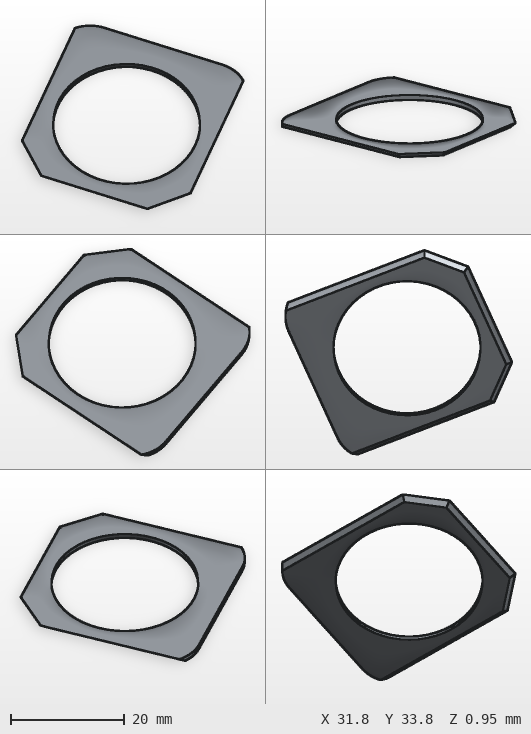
import cadquery as cq
import math

width = 31.75
length = 33.82
thickness = 0.95
hole_diameter = 25.85
back_edge = 17.95
front_edge = back_edge - length
half_width = width / 2

front_chamfer = 5.9
back_corner_radius = 6.85
back_flat_half = 11.13
bevel_angle = 45.0


def beveled_blank():
    """Octagon-fronted blank tapering inwards towards the bottom, with spare length at the back."""
    spare_back = back_edge + 2 * thickness
    chamfer_x = half_width - front_chamfer
    chamfer_y = front_edge + front_chamfer
    return (
        cq.Workplane("XY", origin=(0, 0, thickness))
        .polyline([
            (-half_width, spare_back),
            (-half_width, chamfer_y),
            (-chamfer_x, front_edge),
            (chamfer_x, front_edge),
            (half_width, chamfer_y),
            (half_width, spare_back),
        ])
        .close()
        .extrude(-thickness, taper=bevel_angle)
    )


def back_envelope():
    """Upright prism that trims the back to a straight edge with an arc at each corner."""
    arc_center_y = back_edge - back_corner_radius
    arc_reach = half_width - back_flat_half
    corner_y = arc_center_y + math.sqrt(back_corner_radius**2 - arc_reach**2)
    return (
        cq.Workplane("XY")
        .moveTo(-half_width, front_edge)
        .lineTo(-half_width, corner_y)
        .radiusArc((-back_flat_half, back_edge), back_corner_radius)
        .lineTo(back_flat_half, back_edge)
        .radiusArc((half_width, corner_y), back_corner_radius)
        .lineTo(half_width, front_edge)
        .close()
        .extrude(thickness)
    )


hole = cq.Workplane("XY").circle(hole_diameter / 2).extrude(thickness)
result = beveled_blank().intersect(back_envelope()).cut(hole)